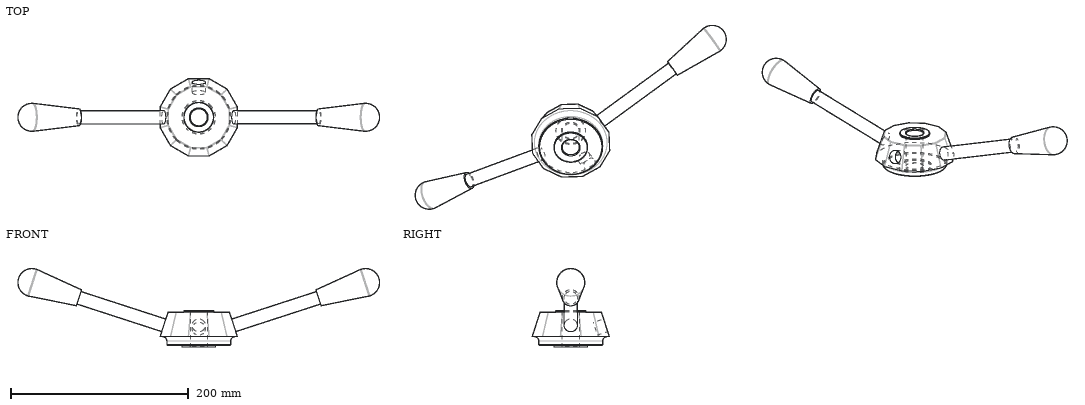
import cadquery as cq
import math

side_count = 12
hub_width = 87.2
hub_bottom = 12.0
hub_top = 39.5
facet_tilt = 18.0
hub_rounding = 1.0

top_boss_diameter = 34.0
top_boss_height = 1.5
bottom_boss_diameter = 38.0
bottom_boss_height = 2.0
boss_chamfer = 0.5
bore_diameter = 19.0
bore_chamfer = 1.0

base_diameter = 72.0
base_chamfer = 1.0
flare_radius = 5.0

rod_diameter = 15.0
axis_height = 12.0
rod_start = 28.5
grip_start = 142.0
grip_start_diameter = 19.0
knob_diameter = 31.8
knob_band = 1.2
overall_length = 407.5
knob_center = (overall_length - knob_diameter) / 2 / math.cos(math.radians(facet_tilt))

socket_diameter = 15.0
socket_depth = 12.2


def revolve_about_z(profile):
    return profile.close().revolve(360, (0, 0, 0), (0, 1, 0))


def make_hub():
    corner_diameter = hub_width / math.cos(math.pi / side_count)
    return (
        cq.Workplane("XY")
        .workplane(offset=hub_bottom)
        .transformed(rotate=(0, 0, 180 / side_count))
        .polygon(side_count, corner_diameter)
        .extrude(hub_top - hub_bottom, taper=facet_tilt)
        .edges("not <Z")
        .fillet(hub_rounding)
    )


def make_base():
    base_radius = base_diameter / 2
    return revolve_about_z(
        cq.Workplane("XZ")
        .moveTo(0, bottom_boss_height)
        .lineTo(base_radius - base_chamfer, bottom_boss_height)
        .lineTo(base_radius, bottom_boss_height + base_chamfer)
        .lineTo(base_radius, hub_bottom - flare_radius)
        .radiusArc((base_radius + flare_radius, hub_bottom), flare_radius)
        .lineTo(0, hub_bottom)
    )


def make_bosses():
    top_boss = (
        cq.Workplane("XY")
        .workplane(offset=hub_top)
        .circle(top_boss_diameter / 2)
        .extrude(top_boss_height)
        .faces(">Z")
        .chamfer(boss_chamfer)
    )
    bottom_boss = (
        cq.Workplane("XY")
        .circle(bottom_boss_diameter / 2)
        .extrude(bottom_boss_height)
        .faces("<Z")
        .chamfer(boss_chamfer)
    )
    return top_boss.union(bottom_boss)


def make_bore():
    """Through hole on the hub axis, with a chamfered mouth at each end."""
    bore_top = hub_top + top_boss_height
    bore_radius = bore_diameter / 2
    mouth_radius = bore_radius + bore_chamfer
    return revolve_about_z(
        cq.Workplane("XZ")
        .moveTo(0, 0)
        .lineTo(mouth_radius, 0)
        .lineTo(bore_radius, bore_chamfer)
        .lineTo(bore_radius, bore_top - bore_chamfer)
        .lineTo(mouth_radius, bore_top)
        .lineTo(0, bore_top)
    )


def place_on_arm_axis(shape, heading):
    """Tilt a shape built along +X upward, turn it to its heading and lift it to the arm axis."""
    return (
        shape.rotate((0, 0, 0), (0, 1, 0), -facet_tilt)
        .rotate((0, 0, 0), (0, 0, 1), heading)
        .translate((0, 0, axis_height))
    )


def make_arm(heading):
    """Rod, conical grip and rounded knob as one turned shape."""
    arm = (
        cq.Workplane("XY")
        .moveTo(rod_start, 0)
        .lineTo(rod_start, rod_diameter / 2)
        .lineTo(grip_start, rod_diameter / 2)
        .lineTo(grip_start, grip_start_diameter / 2)
        .lineTo(knob_center - knob_band, knob_diameter / 2)
        .lineTo(knob_center, knob_diameter / 2)
        .radiusArc((knob_center + knob_diameter / 2, 0), knob_diameter / 2)
        .close()
        .revolve(360, (0, 0, 0), (1, 0, 0))
    )
    return place_on_arm_axis(arm, heading)


def make_socket(heading):
    tilt = math.radians(facet_tilt)
    facet_distance = hub_width / 2 * math.cos(tilt) + (hub_bottom - axis_height) * math.sin(tilt)
    socket = (
        cq.Workplane("YZ")
        .workplane(offset=facet_distance - socket_depth)
        .circle(socket_diameter / 2)
        .extrude(2 * socket_depth)
    )
    return place_on_arm_axis(socket, heading)


hub = make_hub().union(make_base()).union(make_bosses())
result = hub.cut(make_bore()).cut(make_socket(90))
for arm_heading in (0, 180):
    result = result.union(make_arm(arm_heading))